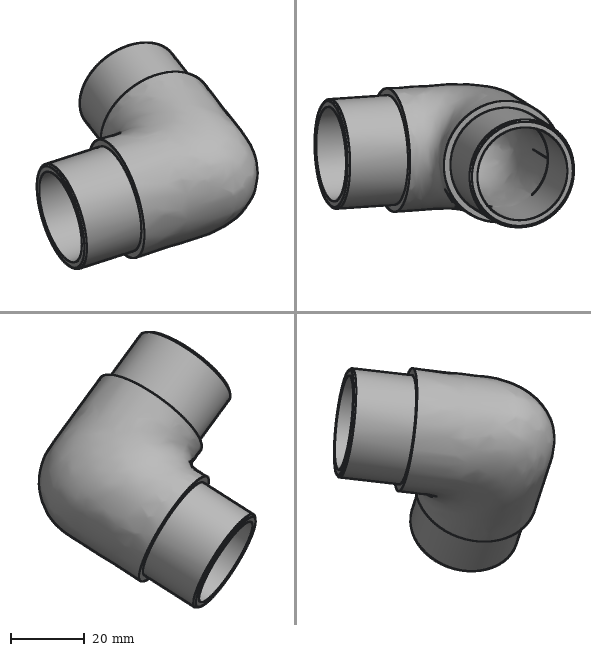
import math

import cadquery as cq

overall = 58.0
body_diameter = 33.7
spigot_diameter = 29.9
bore_diameter = 25.75
spigot_length = 17.05
end_chamfer = 0.5
inner_bend_radius = 3.35

bend_steps = 12
leg_steps = 10

body_radius = body_diameter / 2
spigot_radius = spigot_diameter / 2
bore_radius = bore_diameter / 2
leg_length = overall - body_radius
body_leg_length = leg_length - spigot_length

inner_center = body_radius + inner_bend_radius
LEG_DIRECTIONS = ((-1, 0, 0), (0, -1, 0))


def elbow_section(outer, inner, radius):
    """Ellipse spanning the outer and inner points, with the pipe radius along Z."""
    across = cq.Vector(*outer) - cq.Vector(*inner)
    center = (cq.Vector(*outer) + cq.Vector(*inner)) * 0.5
    normal = across.cross(cq.Vector(0, 0, 1))
    half_span = max(across.Length / 2, radius)
    return cq.Wire.makeEllipse(half_span, radius, center, normal, across, rotation_angle=0)


def bend(radius):
    """Smooth elbow between the two shoulders, as one surface without creases.

    The outside turns about the origin and the inside about the inner center,
    so the sections tilt and stretch through the corner.
    """
    inner_radius = inner_center - radius
    spans = []
    for step in range(leg_steps):
        remaining = 1 - step / leg_steps
        outer_x = -body_leg_length * remaining
        inner_x = outer_x - inner_center * (1 - remaining)
        spans.append(((outer_x, radius), (inner_x, -radius)))
    for step in range(bend_steps // 2 + 1):
        angle = math.pi / 2 * (1 - step / bend_steps)
        cosine = math.cos(angle)
        sine = math.sin(angle)
        outer = (radius * cosine, radius * sine)
        inner = (inner_radius * cosine - inner_center, inner_radius * sine - inner_center)
        spans.append((outer, inner))
    spans += [(outer[::-1], inner[::-1]) for outer, inner in reversed(spans[:-1])]
    sections = [elbow_section(outer, inner, radius) for outer, inner in spans]
    return cq.Workplane(cq.Solid.makeLoft(sections))


def leg_cylinder(direction, radius):
    """Cylinder from a body shoulder to the free end of a leg."""
    start = cq.Vector(*direction) * body_leg_length
    plane = cq.Plane(origin=start.toTuple(), xDir=(0, 0, 1), normal=direction)
    return cq.Workplane(plane).circle(radius).extrude(spigot_length)


def spigot(direction):
    """Reduced tube end with a chamfered outer rim."""
    end_face = cq.selectors.DirectionMinMaxSelector(cq.Vector(*direction))
    return leg_cylinder(direction, spigot_radius).faces(end_face).edges().chamfer(end_chamfer)


result = bend(body_radius)
for leg_direction in LEG_DIRECTIONS:
    result = result.union(spigot(leg_direction))

result = result.cut(bend(bore_radius))
for leg_direction in LEG_DIRECTIONS:
    result = result.cut(leg_cylinder(leg_direction, bore_radius))